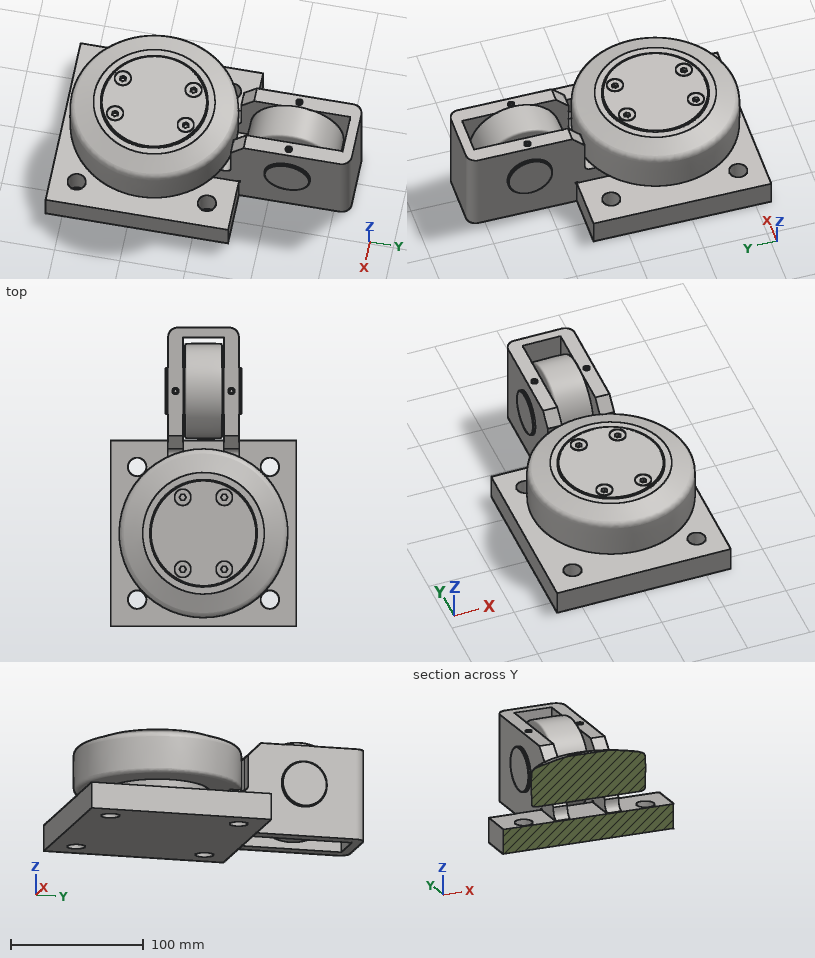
import cadquery as cq
import math


PLATE_SIZE = 140.0
PLATE_THICKNESS = 20.0
MOUNT_HOLE_DIAMETER = 13.7
MOUNT_HOLE_OFFSET = 50.0

STEM_DIAMETER = 79.0
ROLLER_DIAMETER = 126.2
ROLLER_CROWN = 0.5
ROLLER_BOTTOM = 33.8
ROLLER_TOP = 70.9
ROLLER_LAND_DIAMETER = 91.5
ROLLER_SHOULDER = 64.5
SHOULDER_RADIUS = 5.0
ROLLER_BOTTOM_RADIUS = 3.0
CAP_DIAMETER = STEM_DIAMETER
CAP_RISE = 0.7
CAP_GROOVE_DIAMETER = 81.0
CAP_GROOVE_DEPTH = 1.1

SCREW_CIRCLE_RADIUS = 31.3
SCREW_ANGLES = (60, 120, 240, 300)
SCREW_HEAD_DIAMETER = 12.4
SCREW_HEAD_DEPTH = 0.7
SCREW_SOCKET_CORNERS = 5.0
SCREW_SOCKET_DEPTH = 3.0

OVERALL_LENGTH = 225.0
BRACKET_WIDTH = 53.5
BRACKET_HEIGHT = 70.0
BRACKET_CORNER_RADIUS = 7.6
SLOT_WIDTH = 30.5
END_WALL = 7.6
ARM_CHAMFER = 10.0
ROLLER_SEAT_Y = 63.7
ROLLER_SEAT_RADIUS = 4.3
TAIL_TOP = 32.5
TAIL_END_Y = 47.0
TAIL_CHAMFER = 2.7
TAIL_FOOT_RADIUS = 7.2
CORNER_RELIEF_RADIUS = 1.0

PIN_Y = 107.0
PIN_Z = 40.0
PIN_DIAMETER = 35.0
PIN_LENGTH = 57.5
PIN_CHAMFER = 0.7
SIDE_ROLLER_DIAMETER = 71.0
SIDE_ROLLER_CROWN = 0.5
SIDE_ROLLER_WIDTH = 28.0
SIDE_ROLLER_EDGE_RADIUS = 1.5

SET_SCREW_DIAMETER = 5.0
SET_SCREW_DEPTH = 0.7
SET_SCREW_SOCKET_CORNERS = 3.0
SET_SCREW_SOCKET_DEPTH = 2.2

PLATE_EDGE = PLATE_SIZE / 2
BRACKET_END_Y = OVERALL_LENGTH - PLATE_EDGE
CAP_TOP = ROLLER_TOP + CAP_RISE
ARM_CENTRE_X = (BRACKET_WIDTH + SLOT_WIDTH) / 4


def disc(diameter, bottom, top):
    """Upright cylinder on the Z axis."""
    return cq.Workplane("XY").workplane(offset=bottom).circle(diameter / 2).extrude(top - bottom)


def screw_recess(points, top, head_diameter, head_depth, socket_corners, socket_depth):
    """Round screw-head recesses, each with a hexagon socket in its floor, as a cutter."""
    plane = cq.Workplane("XY").workplane(offset=top).pushPoints(points)
    heads = plane.circle(head_diameter / 2).extrude(-head_depth)
    sockets = plane.polygon(6, socket_corners).extrude(-head_depth - socket_depth)
    return heads.union(sockets)


def make_plate():
    plate = cq.Workplane("XY").box(PLATE_SIZE, PLATE_SIZE, PLATE_THICKNESS, centered=(True, True, False))
    holes = (
        cq.Workplane("XY")
        .rect(2 * MOUNT_HOLE_OFFSET, 2 * MOUNT_HOLE_OFFSET, forConstruction=True)
        .vertices()
        .circle(MOUNT_HOLE_DIAMETER / 2)
        .extrude(PLATE_THICKNESS)
    )
    return plate.cut(holes)


def make_main_roller():
    """Crowned roller with a conical top, turned about Z."""
    radius = ROLLER_DIAMETER / 2
    middle = (ROLLER_BOTTOM + ROLLER_SHOULDER) / 2
    roller = (
        cq.Workplane("XZ")
        .moveTo(0, ROLLER_BOTTOM)
        .lineTo(radius, ROLLER_BOTTOM)
        .threePointArc((radius + ROLLER_CROWN, middle), (radius, ROLLER_SHOULDER))
        .lineTo(ROLLER_LAND_DIAMETER / 2, ROLLER_TOP)
        .lineTo(0, ROLLER_TOP)
        .close()
        .revolve(360, (0, 0), (0, 1))
    )
    shoulder_edge = cq.selectors.NearestToPointSelector((0, 0, ROLLER_SHOULDER))
    roller = roller.edges(shoulder_edge).fillet(SHOULDER_RADIUS)
    return roller.faces("<Z").edges().fillet(ROLLER_BOTTOM_RADIUS)


def make_roller_base():
    """Plate, stem and main roller with its screwed hub cap."""
    stem = disc(STEM_DIAMETER, PLATE_THICKNESS, ROLLER_BOTTOM)
    groove_floor = ROLLER_TOP - CAP_GROOVE_DEPTH
    groove = disc(CAP_GROOVE_DIAMETER, groove_floor, ROLLER_TOP)
    cap = disc(CAP_DIAMETER, groove_floor, CAP_TOP)
    screw_points = [
        (
            SCREW_CIRCLE_RADIUS * math.cos(math.radians(angle)),
            SCREW_CIRCLE_RADIUS * math.sin(math.radians(angle)),
        )
        for angle in SCREW_ANGLES
    ]
    screws = screw_recess(
        screw_points,
        CAP_TOP,
        SCREW_HEAD_DIAMETER,
        SCREW_HEAD_DEPTH,
        SCREW_SOCKET_CORNERS,
        SCREW_SOCKET_DEPTH,
    )
    roller = make_main_roller().cut(groove).union(cap).cut(screws)
    return make_plate().union(stem).union(roller)


def make_bracket_frame():
    """Side profile of the bracket across its full width, slotted to leave two arms and an end wall."""
    foot_y = TAIL_END_Y - TAIL_FOOT_RADIUS
    foot_top = PLATE_THICKNESS + TAIL_FOOT_RADIUS
    seat_y = ROLLER_SEAT_Y - ROLLER_SEAT_RADIUS
    diagonal = 1 - math.sqrt(0.5)
    frame = (
        cq.Workplane("YZ")
        .moveTo(PLATE_EDGE, 0)
        .lineTo(BRACKET_END_Y, 0)
        .lineTo(BRACKET_END_Y, BRACKET_HEIGHT)
        .lineTo(ROLLER_SEAT_Y + ARM_CHAMFER, BRACKET_HEIGHT)
        .lineTo(ROLLER_SEAT_Y, BRACKET_HEIGHT - ARM_CHAMFER)
        .lineTo(ROLLER_SEAT_Y, TAIL_TOP + ROLLER_SEAT_RADIUS)
        .threePointArc(
            (ROLLER_SEAT_Y - diagonal * ROLLER_SEAT_RADIUS, TAIL_TOP + diagonal * ROLLER_SEAT_RADIUS),
            (seat_y, TAIL_TOP),
        )
        .lineTo(TAIL_END_Y + TAIL_CHAMFER, TAIL_TOP)
        .lineTo(TAIL_END_Y, TAIL_TOP - TAIL_CHAMFER)
        .lineTo(TAIL_END_Y, foot_top)
        .threePointArc(
            (TAIL_END_Y - diagonal * TAIL_FOOT_RADIUS, PLATE_THICKNESS + diagonal * TAIL_FOOT_RADIUS),
            (foot_y, PLATE_THICKNESS),
        )
        .lineTo(PLATE_EDGE, PLATE_THICKNESS)
        .close()
        .extrude(BRACKET_WIDTH / 2, both=True)
    )
    frame = frame.edges("|Z and >Y").fillet(BRACKET_CORNER_RADIUS)
    slot_end = BRACKET_END_Y - END_WALL
    slot = cq.Workplane("XY").box(SLOT_WIDTH, slot_end, BRACKET_HEIGHT, centered=(True, False, False))
    relief = (
        cq.Workplane("YZ")
        .center(PLATE_EDGE, PLATE_THICKNESS)
        .circle(CORNER_RELIEF_RADIUS)
        .extrude(BRACKET_WIDTH / 2, both=True)
    )
    return frame.cut(slot).cut(relief)


def make_side_roller():
    """Crowned roller turned about the pin axis, which runs along X."""
    radius = SIDE_ROLLER_DIAMETER / 2
    half_width = SIDE_ROLLER_WIDTH / 2
    roller = (
        cq.Workplane("XY")
        .moveTo(-half_width, 0)
        .lineTo(-half_width, radius)
        .threePointArc((0, radius + SIDE_ROLLER_CROWN), (half_width, radius))
        .lineTo(half_width, 0)
        .close()
        .revolve(360, (0, 0), (1, 0))
    )
    roller = roller.faces("<X or >X").edges().fillet(SIDE_ROLLER_EDGE_RADIUS)
    return roller.translate((0, PIN_Y, PIN_Z))


def make_pin():
    pin = (
        cq.Workplane("YZ")
        .center(PIN_Y, PIN_Z)
        .circle(PIN_DIAMETER / 2)
        .extrude(PIN_LENGTH / 2, both=True)
    )
    return pin.faces("<X or >X").chamfer(PIN_CHAMFER)


def make_side_roller_bracket():
    """Bracket with the side roller on its pin and the recessed set screws above the pin."""
    set_screws = screw_recess(
        [(-ARM_CENTRE_X, PIN_Y), (ARM_CENTRE_X, PIN_Y)],
        BRACKET_HEIGHT,
        SET_SCREW_DIAMETER,
        SET_SCREW_DEPTH,
        SET_SCREW_SOCKET_CORNERS,
        SET_SCREW_SOCKET_DEPTH,
    )
    return make_bracket_frame().cut(set_screws).union(make_pin()).union(make_side_roller())


roller_base = make_roller_base()
side_roller_bracket = make_side_roller_bracket()

result = cq.Compound.makeCompound([roller_base.val(), side_roller_bracket.val()])